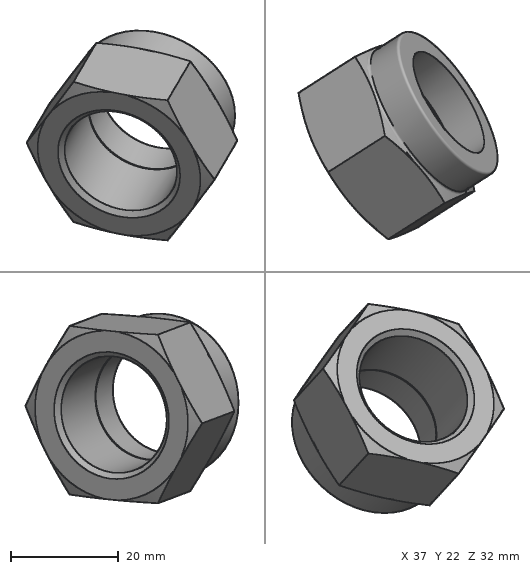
import cadquery as cq
import math

ACROSS_CORNERS = 36.95
ACROSS_FLATS = ACROSS_CORNERS * math.cos(math.radians(30))
TOTAL_LENGTH = 22.0
HEX_LENGTH = 15.0
CORNER_ANGLE = 20.0

COLLAR_DIAMETER = 31.0
COLLAR_ROUND = (ACROSS_FLATS - COLLAR_DIAMETER) / 2

BORE_DIAMETER = 22.05
REAR_BORE_DIAMETER = 21.95
STEP_LENGTH = 0.15
STEP_DEPTH = HEX_LENGTH - STEP_LENGTH
MOUTH_DIAMETER = 24.0
MOUTH_DEPTH = (MOUTH_DIAMETER - BORE_DIAMETER) / 2


def revolve_about_y(profile):
    """Turn a closed (radius, Y) outline around the nut axis."""
    return profile.close().revolve(360, (0, 0, 0), (0, 1, 0))


def hexagon():
    """Hexagonal prism with its corners turned off conically at both ends."""
    flat_radius = ACROSS_FLATS / 2
    corner_radius = ACROSS_CORNERS / 2
    corner_drop = (corner_radius - flat_radius) * math.tan(math.radians(CORNER_ANGLE))
    prism = cq.Workplane("XZ").polygon(6, ACROSS_CORNERS).extrude(-HEX_LENGTH)
    envelope = revolve_about_y(
        cq.Workplane("XY")
        .moveTo(0, 0)
        .lineTo(flat_radius, 0)
        .lineTo(corner_radius, corner_drop)
        .lineTo(corner_radius, HEX_LENGTH - corner_drop)
        .lineTo(flat_radius, HEX_LENGTH)
        .lineTo(0, HEX_LENGTH)
    )
    return prism.intersect(envelope)


def collar():
    """Round collar with a filleted foot and a rounded outer rim."""
    radius = COLLAR_DIAMETER / 2
    return revolve_about_y(
        cq.Workplane("XY")
        .moveTo(0, HEX_LENGTH)
        .lineTo(radius + COLLAR_ROUND, HEX_LENGTH)
        .radiusArc((radius, HEX_LENGTH + COLLAR_ROUND), COLLAR_ROUND)
        .lineTo(radius, TOTAL_LENGTH - COLLAR_ROUND)
        .radiusArc((radius - COLLAR_ROUND, TOTAL_LENGTH), -COLLAR_ROUND)
        .lineTo(0, TOTAL_LENGTH)
    )


def bore():
    """Through bore with a chamfered front mouth and a slightly narrower rear."""
    return revolve_about_y(
        cq.Workplane("XY")
        .moveTo(0, 0)
        .lineTo(MOUTH_DIAMETER / 2, 0)
        .lineTo(BORE_DIAMETER / 2, MOUTH_DEPTH)
        .lineTo(BORE_DIAMETER / 2, STEP_DEPTH)
        .lineTo(REAR_BORE_DIAMETER / 2, STEP_DEPTH + STEP_LENGTH)
        .lineTo(REAR_BORE_DIAMETER / 2, TOTAL_LENGTH)
        .lineTo(0, TOTAL_LENGTH)
    )


result = hexagon().union(collar()).cut(bore())